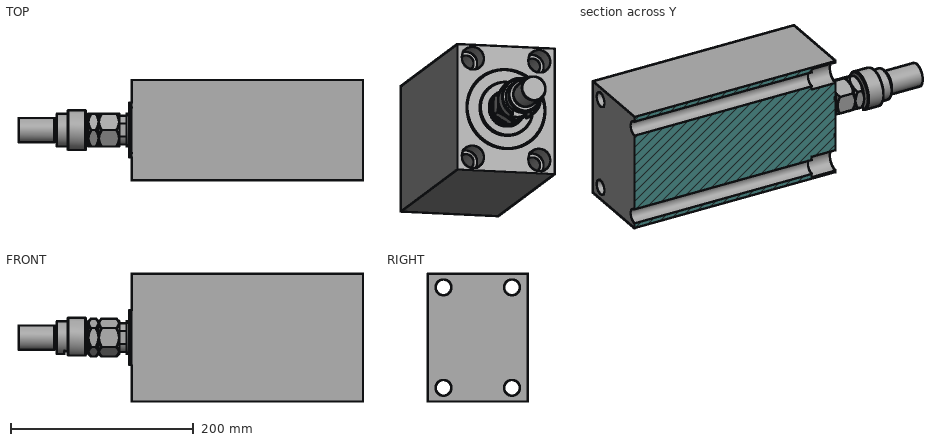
import cadquery as cq
import math


block_width = 110.0
block_height = 140.0
overall_length = 377.5
coupling_tip_x = -124.0
block_length = overall_length + coupling_tip_x
top_edge_chamfer = 0.5
bolt_spacing_y = 75.0
bolt_spacing_z = 110.0
bolt_hole_diameter = 17.0
bolt_head_diameter = 25.0
bolt_head_depth = 30.0
gland_radius = 44.5
gland_groove_width = 1.0
gland_groove_depth = 1.0
lip_radius = 30.0
lip_length = 3.0
lip_chamfer = 0.75
wiper_recess_radius = 20.0
wiper_recess_depth = 2.5

rod_radius = 18.0
rod_front_x = -13.5
rod_depth = 100.0
wrench_size = 32.0
wrench_end_radius = 17.5
wrench_flats_back_x = -5.5
rod_thread_depth = 40.0

hex_size = 36.0
hex_corner_radius = hex_size / math.sqrt(3)
hex_face_inset = 0.4
hex_face_radius = hex_size / 2 - hex_face_inset
hex_chamfer = hex_corner_radius - hex_face_radius
thread_radius = 12.0
nut_front_x = -36.0
pin_hex_front_x = -47.5
neck_radius = 10.0

collar_radius = 22.0
collar_front_x = -70.0
collar_back_x = -50.0
collar_chamfer = 1.0
sleeve_radius = 18.0
sleeve_front_x = -82.5
sleeve_chamfer = 1.0
spigot_radius = 13.5
spigot_end_x = -84.0
spigot_chamfer = 1.0
spigot_tip_chamfer = 0.5
undercut_radius = 12.5
slot_front_x = -73.5


def rod_axis_cylinder(radius, start_x, end_x):
    return cq.Workplane("YZ", origin=(start_x, 0, 0)).circle(radius).extrude(end_x - start_x)


def turned(profile):
    """Revolve an (x, radius) profile about the X axis."""
    return cq.Workplane("XZ").polyline(profile).close().revolve(360, (0, 0, 0), (1, 0, 0))


def chamfered_hex(start_x, end_x):
    """Hexagon bar with corners towards +Z and -Z, its ends chamfered at 45 degrees by turning."""
    corner_angles = [math.radians(60 * i) for i in range(6)]
    corners = [(hex_corner_radius * math.sin(a), hex_corner_radius * math.cos(a)) for a in corner_angles]
    prism = cq.Workplane("YZ", origin=(start_x, 0, 0)).polyline(corners).close().extrude(end_x - start_x)
    envelope = turned([
        (start_x, 0),
        (start_x, hex_face_radius),
        (start_x + hex_chamfer, hex_corner_radius),
        (end_x - hex_chamfer, hex_corner_radius),
        (end_x, hex_face_radius),
        (end_x, 0),
    ])
    return prism.intersect(envelope)


def make_block():
    """Cylinder block with counterbored bolt holes, a gland groove and a lip around the rod."""
    block = cq.Workplane("XY").box(block_length, block_width, block_height, centered=(False, True, True))
    block = block.faces("<Y").edges(">Z").chamfer(top_edge_chamfer)
    block = (
        block.faces("<X").workplane(centerOption="CenterOfBoundBox")
        .rarray(bolt_spacing_y, bolt_spacing_z, 2, 2)
        .cboreHole(bolt_hole_diameter, bolt_head_diameter, bolt_head_depth)
    )
    groove = (
        cq.Workplane("YZ").circle(gland_radius).circle(gland_radius - gland_groove_width)
        .extrude(gland_groove_depth)
    )
    lip = rod_axis_cylinder(lip_radius, -lip_length, 0).faces("<X").chamfer(lip_chamfer)
    rod_bore = rod_axis_cylinder(rod_radius, -lip_length, rod_depth)
    wiper_recess = rod_axis_cylinder(wiper_recess_radius, -lip_length, wiper_recess_depth - lip_length)
    return block.cut(groove).union(lip).cut(wiper_recess).cut(rod_bore)


def make_rod():
    """Piston rod with four wrench flats and a plain hole for the pin shank in its front end."""
    shaft = rod_axis_cylinder(rod_radius, wrench_flats_back_x, rod_depth)
    wrench_square = (
        cq.Workplane("YZ", origin=(rod_front_x, 0, 0))
        .rect(wrench_size, wrench_size)
        .extrude(wrench_flats_back_x - rod_front_x)
    )
    wrench_end = rod_axis_cylinder(wrench_end_radius, rod_front_x, wrench_flats_back_x)
    wrench_end = wrench_end.intersect(wrench_square)
    thread_hole = rod_axis_cylinder(thread_radius, rod_front_x, rod_front_x + rod_thread_depth)
    return shaft.union(wrench_end).cut(thread_hole)


def make_locknut():
    """Hexagon nut clamped between the rod and the coupling pin."""
    nut = chamfered_hex(nut_front_x, rod_front_x)
    return nut.cut(rod_axis_cylinder(thread_radius, nut_front_x, rod_front_x))


def make_coupling_pin():
    """Hexagon with a shank into the rod and a neck into the coupling."""
    hexagon = chamfered_hex(pin_hex_front_x, nut_front_x)
    shank = rod_axis_cylinder(thread_radius, nut_front_x, rod_front_x + rod_thread_depth)
    neck = rod_axis_cylinder(neck_radius, slot_front_x, pin_hex_front_x)
    return hexagon.union(shank).union(neck)


def make_coupling():
    """Stepped coupling with a spigot at its front and a slot that takes the pin from below."""
    body = turned([
        (coupling_tip_x, 0),
        (coupling_tip_x, spigot_radius - spigot_tip_chamfer),
        (coupling_tip_x + spigot_tip_chamfer, spigot_radius),
        (spigot_end_x - spigot_chamfer, spigot_radius),
        (spigot_end_x, undercut_radius),
        (sleeve_front_x, undercut_radius),
        (sleeve_front_x, sleeve_radius - sleeve_chamfer),
        (sleeve_front_x + sleeve_chamfer, sleeve_radius),
        (collar_front_x, sleeve_radius),
        (collar_front_x, collar_radius - collar_chamfer),
        (collar_front_x + collar_chamfer, collar_radius),
        (collar_back_x - collar_chamfer, collar_radius),
        (collar_back_x, collar_radius - collar_chamfer),
        (collar_back_x, 0),
    ])
    slot = (
        cq.Workplane("YZ", origin=(slot_front_x, 0, 0))
        .moveTo(-neck_radius, -collar_radius)
        .lineTo(-neck_radius, 0)
        .threePointArc((0, neck_radius), (neck_radius, 0))
        .lineTo(neck_radius, -collar_radius)
        .close()
        .extrude(collar_back_x - slot_front_x)
    )
    return body.cut(slot)


block = make_block()
rod = make_rod()
locknut = make_locknut()
coupling_pin = make_coupling_pin()
coupling = make_coupling()

result = cq.Compound.makeCompound(
    [block.val(), rod.val(), locknut.val(), coupling_pin.val(), coupling.val()]
)